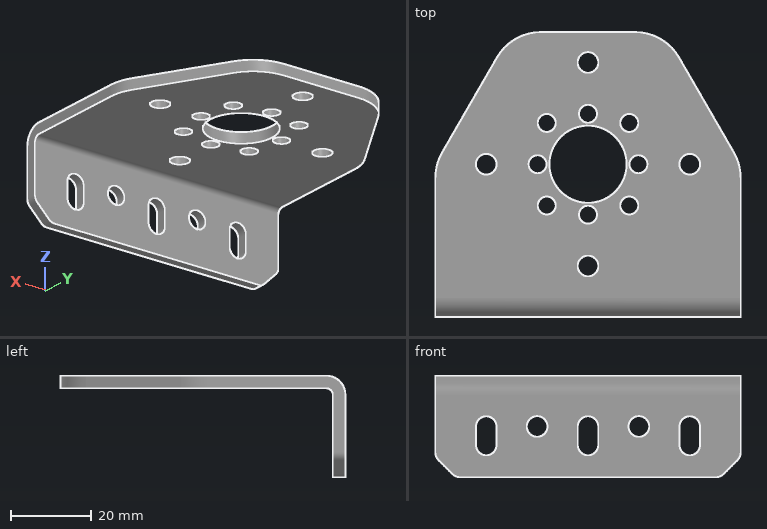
import cadquery as cq
import math

width = 76.2
depth = 71.1
height = 25.4
thickness = 3.2
bend_outer_radius = 4.8
bend_inner_radius = bend_outer_radius - thickness

bore_y = 38.1
taper_angle = 60.0
plate_corner_radius = 12.7
back_edge_half = width / 2 - (depth - bore_y) / math.tan(math.radians(taper_angle))

bore_diameter = 19.2
inner_ring_radius = 12.6
outer_ring_radius = 14.55
ring_hole_diameter = 4.4
mount_radius = 25.4
mount_hole_diameter = 5.1
holes_per_circle = 4
diagonal_angle = 45

flange_chamfer = 5.1
flange_corner_radius = 2.5
flange_hole_spacing = mount_radius
flange_hole_drop = height / 2
slot_width = 5.0
slot_length = 9.7
slot_drop = 15.0


def bent_sheet():
    """L-shaped sheet with its bend along the top front edge."""
    return (
        cq.Workplane("YZ")
        .moveTo(0, 0)
        .lineTo(0, height - bend_outer_radius)
        .radiusArc((bend_outer_radius, height), bend_outer_radius)
        .lineTo(depth, height)
        .lineTo(depth, height - thickness)
        .lineTo(bend_outer_radius, height - thickness)
        .radiusArc((thickness, height - bend_outer_radius), -bend_inner_radius)
        .lineTo(thickness, 0)
        .close()
        .extrude(width / 2, both=True)
    )


def plate_outline():
    """Full-height prism with the tapered plate outline."""
    half = width / 2
    points = [
        (-half, 0),
        (half, 0),
        (half, bore_y),
        (back_edge_half, depth),
        (-back_edge_half, depth),
        (-half, bore_y),
    ]
    prism = cq.Workplane("XY").polyline(points).close().extrude(height)
    return prism.edges("|Z").edges("not <Y").fillet(plate_corner_radius)


def flange_outline():
    """Full-depth prism with the chamfered, rounded lower flange corners."""
    half = width / 2
    points = [
        (-half, height),
        (-half, flange_chamfer),
        (flange_chamfer - half, 0),
        (half - flange_chamfer, 0),
        (half, flange_chamfer),
        (half, height),
    ]
    prism = cq.Workplane("XZ").polyline(points).close().extrude(-depth)
    return prism.edges("|Y").edges("not >Z").fillet(flange_corner_radius)


def hole_circle(radius, start_angle, diameter):
    """Cylinders for equally spaced holes on a circle around the bore."""
    return (
        cq.Workplane("XY")
        .center(0, bore_y)
        .polarArray(radius, start_angle, 360, holes_per_circle)
        .circle(diameter / 2)
        .extrude(height)
    )


def plate_holes():
    """Central bore, two staggered rings of small holes and the mounting holes."""
    bore = cq.Workplane("XY").center(0, bore_y).circle(bore_diameter / 2).extrude(height)
    inner_ring = hole_circle(inner_ring_radius, 0, ring_hole_diameter)
    outer_ring = hole_circle(outer_ring_radius, diagonal_angle, ring_hole_diameter)
    mounts = hole_circle(mount_radius, 0, mount_hole_diameter)
    return bore.union(inner_ring).union(outer_ring).union(mounts)


def flange_holes():
    """Three upright slots with a round hole between each pair."""
    plane = cq.Workplane("XZ")
    slot_centers = [(step * flange_hole_spacing, height - slot_drop) for step in (-1, 0, 1)]
    round_centers = [(side * flange_hole_spacing / 2, height - flange_hole_drop) for side in (-1, 1)]
    slots = (
        plane.pushPoints(slot_centers)
        .slot2D(slot_length, slot_width, 90)
        .extrude(-thickness)
    )
    rounds = (
        plane.pushPoints(round_centers)
        .circle(mount_hole_diameter / 2)
        .extrude(-thickness)
    )
    return slots.union(rounds)


result = (
    bent_sheet()
    .intersect(plate_outline())
    .intersect(flange_outline())
    .cut(plate_holes())
    .cut(flange_holes())
)